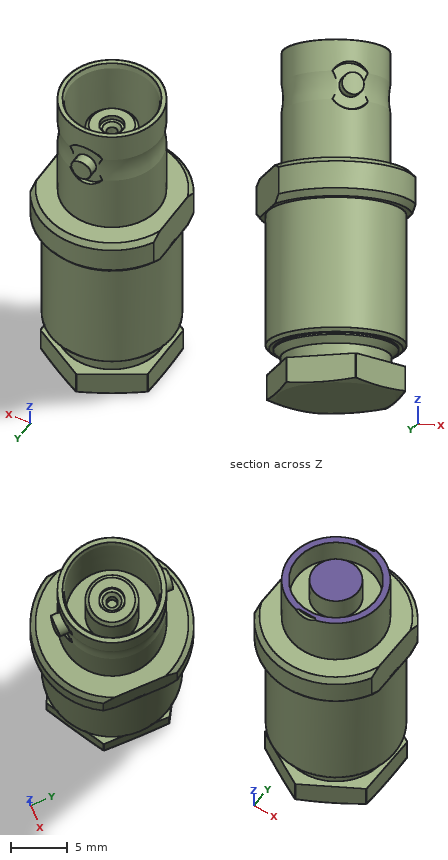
import cadquery as cq
import math

total_height = 31.5
body_radius = 6.25

nut_across_flats = 10.95
nut_corner_radius = 6.3
nut_height = 2.45
nut_bevel_height = 0.22
nut_bevel_width = 1.0
neck_radius = 4.9

collar_radius = 5.55
collar_bottom = 4.3
body_bottom = 4.47
body_chamfer = 0.3

flange_diameter = 14.45
flange_radius = flange_diameter / 2
flange_bottom = 16.65
flange_top = 20.2
flange_chamfer_width = 0.47
flange_top_chamfer_height = 0.47
flange_bottom_chamfer_height = 0.6
flange_across_flats = 12.6

barrel_radius = 4.82
groove_center = 27.35
groove_half_width = 1.3
groove_depth = 0.13

socket_floor_radius = 4.13
socket_mouth_radius = 4.22
socket_floor = 23.0
socket_chamfer_width = 0.15
socket_chamfer_height = 0.47

insulator_radius = 2.35
insulator_top = 28.2
insulator_chamfer = 0.3
contact_recess_radius = 1.13
contact_cone_radius = 0.85
contact_bore_radius = 0.5
contact_recess_depth = 0.47
contact_cone_depth = contact_cone_radius - contact_bore_radius
contact_bore_depth = 1.9

lug_radius = 1.0
lug_reach = 5.55
lug_height = groove_center
recess_floor = 4.55
recess_floor_radius = 2.08
recess_edge_radius = 2.2


def revolve_profile(profile):
    """Turn a closed radius/height outline about the Z axis."""
    return profile.close().revolve(360, (0, 0, 0), (0, 1, 0))


def make_nut():
    hexagon_corner_diameter = nut_across_flats / math.cos(math.pi / 6)
    hexagon = (
        cq.Workplane("XY")
        .polygon(6, hexagon_corner_diameter)
        .extrude(nut_height)
        .rotate((0, 0, 0), (0, 0, 1), 30)
    )
    turned_blank = revolve_profile(
        cq.Workplane("XZ")
        .lineTo(nut_corner_radius - nut_bevel_width, 0)
        .lineTo(nut_corner_radius, nut_bevel_height)
        .lineTo(nut_corner_radius, nut_height)
        .lineTo(0, nut_height)
    )
    return hexagon.intersect(turned_blank)


def make_body():
    collar_cone_bottom = collar_bottom - (collar_radius - neck_radius)
    return revolve_profile(
        cq.Workplane("XZ")
        .moveTo(0, nut_height)
        .lineTo(neck_radius, nut_height)
        .lineTo(neck_radius, collar_cone_bottom)
        .lineTo(collar_radius, collar_bottom)
        .lineTo(collar_radius, body_bottom)
        .lineTo(body_radius - body_chamfer, body_bottom)
        .lineTo(body_radius, body_bottom + body_chamfer)
        .lineTo(body_radius, flange_bottom)
        .lineTo(0, flange_bottom)
    )


def make_flange():
    rim_radius = flange_radius - flange_chamfer_width
    disc = revolve_profile(
        cq.Workplane("XZ")
        .moveTo(0, flange_bottom)
        .lineTo(rim_radius, flange_bottom)
        .lineTo(flange_radius, flange_bottom + flange_bottom_chamfer_height)
        .lineTo(flange_radius, flange_top - flange_top_chamfer_height)
        .lineTo(rim_radius, flange_top)
        .lineTo(0, flange_top)
    )
    flats = cq.Workplane("XY").box(flange_across_flats, flange_diameter, 2 * total_height)
    return disc.intersect(flats)


def make_barrel():
    return revolve_profile(
        cq.Workplane("XZ")
        .moveTo(0, flange_top)
        .lineTo(barrel_radius, flange_top)
        .lineTo(barrel_radius, groove_center - groove_half_width)
        .threePointArc(
            (barrel_radius - groove_depth, groove_center),
            (barrel_radius, groove_center + groove_half_width),
        )
        .lineTo(barrel_radius, total_height)
        .lineTo(0, total_height)
    )


def make_lug_recesses():
    """Round flat-floored recesses with sloped walls on both sides of the barrel."""
    wall_height = barrel_radius - recess_floor
    recess = revolve_profile(
        cq.Workplane("XY")
        .moveTo(0, recess_floor)
        .lineTo(recess_floor_radius, recess_floor)
        .lineTo(recess_edge_radius, recess_floor + wall_height)
        .lineTo(0, recess_floor + wall_height)
    ).translate((0, 0, lug_height))
    return recess.union(recess.mirror("XZ"))


def make_socket():
    """Ring-shaped space between the barrel wall and the insulator, open at the top."""
    return revolve_profile(
        cq.Workplane("XZ")
        .moveTo(insulator_radius, socket_floor)
        .lineTo(socket_floor_radius, socket_floor)
        .lineTo(socket_mouth_radius, total_height - socket_chamfer_height)
        .lineTo(socket_mouth_radius + socket_chamfer_width, total_height)
        .lineTo(0, total_height)
        .lineTo(0, insulator_top)
        .lineTo(insulator_radius - insulator_chamfer, insulator_top)
        .lineTo(insulator_radius, insulator_top - insulator_chamfer)
    )


def make_contact_hole():
    recess_bottom = insulator_top - contact_recess_depth
    bore_top = recess_bottom - contact_cone_depth
    bore_floor = insulator_top - contact_bore_depth
    return revolve_profile(
        cq.Workplane("XZ")
        .moveTo(0, bore_floor)
        .lineTo(contact_bore_radius, bore_floor)
        .lineTo(contact_bore_radius, bore_top)
        .lineTo(contact_cone_radius, recess_bottom)
        .lineTo(contact_recess_radius, recess_bottom)
        .lineTo(contact_recess_radius, insulator_top)
        .lineTo(0, insulator_top)
    )


def make_lugs():
    """Cross pin whose ends are rounded about the Z axis; it stops inside the barrel wall."""
    pin = cq.Workplane("XZ", origin=(0, 0, lug_height)).circle(lug_radius).extrude(lug_reach, both=True)
    wall_middle = (socket_mouth_radius + recess_floor) / 2
    ring_bottom = lug_height - 2 * lug_radius
    end_ring = (
        cq.Workplane("XY", origin=(0, 0, ring_bottom))
        .circle(lug_reach)
        .circle(wall_middle)
        .extrude(4 * lug_radius)
    )
    return pin.intersect(end_ring)


result = (
    make_nut()
    .union(make_body())
    .union(make_flange())
    .union(make_barrel())
    .cut(make_lug_recesses())
    .cut(make_socket())
    .cut(make_contact_hole())
    .union(make_lugs())
)